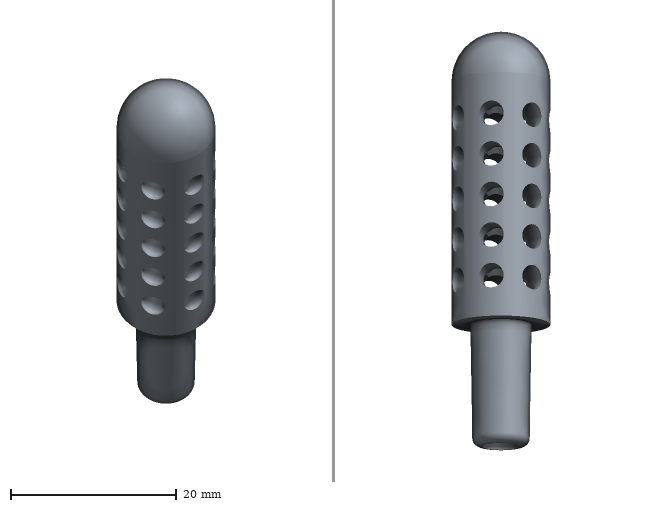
import cadquery as cq

total_height = 51.0
body_diameter = 12.0
body_radius = body_diameter / 2
pin_length = 15.0
dome_base_z = total_height - body_radius
body_length = dome_base_z - pin_length

pin_top_radius = 3.7
pin_bottom_radius = 3.45
pin_end_fillet = 1.0

bore_diameter = 4.5
bore_depth = dome_base_z

hole_diameter = 3.0
holes_per_row = 7
row_count = 5
row_spacing = body_length / (row_count + 1)


def make_pin():
    """Pin widening towards the body, with a rounded free end."""
    pin = (
        cq.Workplane("XY")
        .circle(pin_bottom_radius)
        .workplane(offset=pin_length)
        .circle(pin_top_radius)
        .loft()
    )
    return pin.faces("<Z").edges().fillet(pin_end_fillet)


def make_body():
    """Cylinder capped by a hemisphere, revolved about Z."""
    dome_mid = body_radius * 0.5**0.5
    return (
        cq.Workplane("XZ")
        .moveTo(0, pin_length)
        .lineTo(body_radius, pin_length)
        .lineTo(body_radius, dome_base_z)
        .threePointArc((dome_mid, dome_base_z + dome_mid), (0, total_height))
        .close()
        .revolve(360, (0, 0, 0), (0, 1, 0))
    )


def make_hole_row(z):
    """Radial cutters from the axis outwards, the first one along +X."""
    cutter = cq.Workplane("YZ").center(0, z).circle(hole_diameter / 2).extrude(body_diameter)
    row = cq.Workplane("XY")
    for i in range(holes_per_row):
        row = row.add(cutter.rotate((0, 0, 0), (0, 0, 1), i * 360 / holes_per_row))
    return row.combine()


bore = cq.Workplane("XY").circle(bore_diameter / 2).extrude(bore_depth)
result = make_pin().union(make_body()).cut(bore)
for row_index in range(1, row_count + 1):
    result = result.cut(make_hole_row(pin_length + row_index * row_spacing))